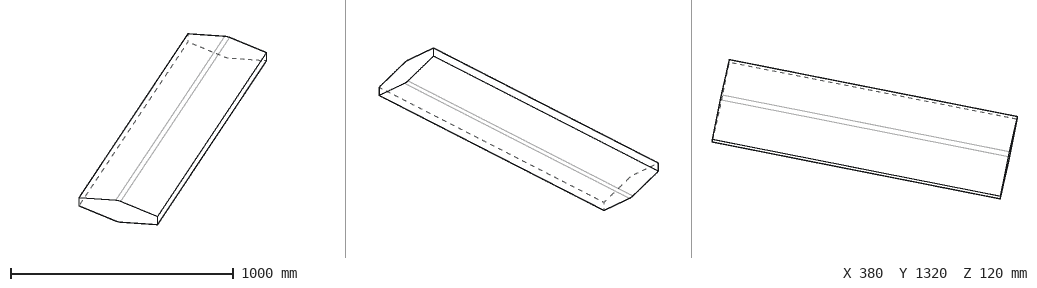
import cadquery as cq
import math

width = 380.0
length = 1320.0
height = 120.0
slope_ratio = 1 / 5

half_width = width / 2

ridge_radius = height / 2

slope_angle = math.atan(slope_ratio)
tangent_x = ridge_radius * math.sin(slope_angle)
tangent_z = ridge_radius * math.cos(slope_angle)

half_side = tangent_z - (half_width - tangent_x) * slope_ratio


def bar_profile():
    """Flattened hexagon in the XZ plane with rounded top and bottom ridges."""
    return (
        cq.Workplane("XZ")
        .moveTo(-half_width, -half_side)
        .lineTo(-half_width, half_side)
        .lineTo(-tangent_x, tangent_z)
        .threePointArc((0, ridge_radius), (tangent_x, tangent_z))
        .lineTo(half_width, half_side)
        .lineTo(half_width, -half_side)
        .lineTo(tangent_x, -tangent_z)
        .threePointArc((0, -ridge_radius), (-tangent_x, -tangent_z))
        .close()
    )


result = bar_profile().extrude(length / 2, both=True)